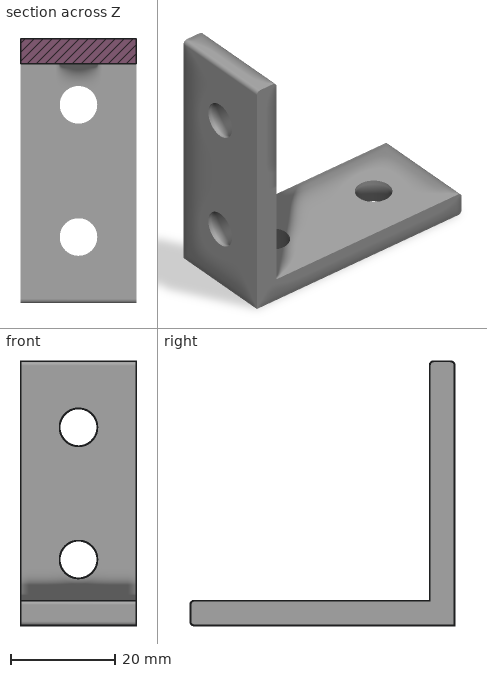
import cadquery as cq

leg_length = 50.8
width = 22.25
thickness = 4.85
hole_diameter = 7.2
end_edge_size = 0.8

hole_offset = leg_length / 4
hole_positions = (-hole_offset, hole_offset)
half_leg = leg_length / 2
inner_corner = half_leg - thickness


def angle_body():
    """L-shaped profile in the YZ plane, centred on X."""
    outline = [
        (-half_leg, -half_leg),
        (half_leg, -half_leg),
        (half_leg, half_leg),
        (inner_corner, half_leg),
        (inner_corner, -inner_corner),
        (-half_leg, -inner_corner),
    ]
    return cq.Workplane("YZ").polyline(outline).close().extrude(width / 2, both=True)


def hole_pair(plane):
    """Two cylinders along the leg, long enough to cut through it."""
    return (
        cq.Workplane(plane)
        .pushPoints([(0, position) for position in hole_positions])
        .circle(hole_diameter / 2)
    )


body = angle_body()
body = body.faces("<Y").edges("|X").fillet(end_edge_size)
body = body.faces(">Z").edges("|X").fillet(end_edge_size)

horizontal_holes = hole_pair("XY").extrude(-leg_length)
upright_holes = hole_pair("XZ").extrude(-leg_length)

result = body.cut(horizontal_holes).cut(upright_holes)